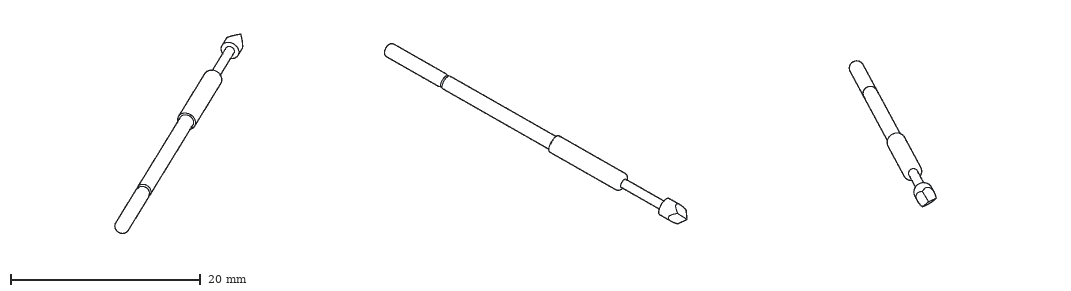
import cadquery as cq
import math

total_length = 39.3

head_radius = 1.0
head_length = 3.0
point_half_angle = 30.0
point_flat_count = 3

plunger_radius = 0.5

collar_radius = 1.0
collar_rear_y = 21.9
collar_length = 9.05
collar_front_fillet = 0.4

barrel_radius = 0.78
barrel_end_fillet = 0.4

groove_rear_y = 7.15
groove_bottom_y = 7.5
groove_front_y = 7.75
groove_depth = 0.1

head_rear_y = total_length - head_length
collar_front_y = collar_rear_y + collar_length


def turned_body():
    """Barrel, collar, plunger and plain head revolved about the Y axis."""
    profile = (
        cq.Workplane("XY")
        .moveTo(0, 0)
        .lineTo(barrel_radius - barrel_end_fillet, 0)
        .radiusArc((barrel_radius, barrel_end_fillet), -barrel_end_fillet)
        .lineTo(barrel_radius, groove_rear_y)
        .lineTo(barrel_radius - groove_depth, groove_bottom_y)
        .lineTo(barrel_radius, groove_front_y)
        .lineTo(barrel_radius, collar_rear_y)
        .lineTo(collar_radius, collar_rear_y)
        .lineTo(collar_radius, collar_front_y - collar_front_fillet)
        .radiusArc((collar_radius - collar_front_fillet, collar_front_y), -collar_front_fillet)
        .lineTo(plunger_radius, collar_front_y)
        .lineTo(plunger_radius, head_rear_y)
        .lineTo(head_radius, head_rear_y)
        .lineTo(head_radius, total_length)
        .lineTo(0, total_length)
        .close()
    )
    return profile.revolve(360, (0, 0, 0), (0, 1, 0))


def point_flat_cutter(turn_angle):
    """Wedge outside one flat of the point, turned about Y away from +X."""
    reach = 2 * head_radius
    drop = reach / math.tan(math.radians(point_half_angle))
    wedge = (
        cq.Workplane("XY")
        .moveTo(0, total_length)
        .lineTo(reach, total_length - drop)
        .lineTo(reach, total_length + reach)
        .lineTo(-reach, total_length + reach)
        .lineTo(-reach, total_length + drop)
        .close()
        .extrude(reach, both=True)
    )
    return wedge.rotate((0, 0, 0), (0, 1, 0), turn_angle)


def cut_point(body):
    """Sharpen the head to a three-sided pyramid with its apex on the axis."""
    for index in range(point_flat_count):
        body = body.cut(point_flat_cutter(index * 360 / point_flat_count))
    return body


result = cut_point(turned_body())